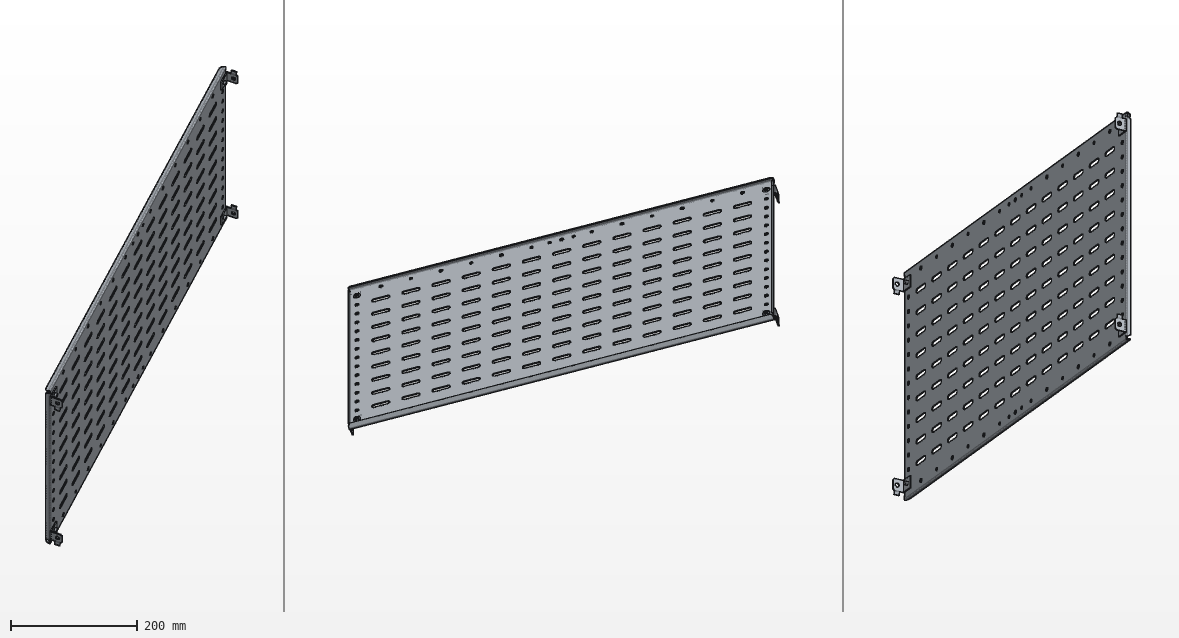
import cadquery as cq
import math

TRAY_FRONT = -15.26
PANEL_BACK = -5.0
PANEL_SHEET = 2.0
PANEL_BEND = 2.25
PANEL_WIDTH = 705.0
PANEL_HEIGHT = 397.66
FLANGE_TILT = math.radians(30)
FLANGE_CORNER = 3.5
SIDE_FLANGE_FRONT = -13.5
SIDE_FLANGE_TOP = 191.5

HALF_WIDTH = PANEL_WIDTH / 2
HALF_HEIGHT = PANEL_HEIGHT / 2
WEB_FRONT = PANEL_BACK - PANEL_SHEET
BEND_X = PANEL_BACK - PANEL_BEND

SLOT_LENGTH = 30.0
SLOT_WIDTH = 8.0
SLOT_PITCH_Y = 50.0
SLOT_PITCH_Z = 37.5
SLOT_COLUMNS = 13
SLOT_ROWS = 9
LARGE_HOLE = 6.5
SMALL_HOLE = 5.2
EDGE_ROW_Z = 185.0
LARGE_EDGE_HOLES_Y = (-300, -200, -100, 0, 100, 200, 300)
SMALL_EDGE_HOLES_Y = (-250, -150, -50, -20, 20, 50, 150, 250)
SIDE_COLUMN_Y = 339.5
SIDE_HOLE_PITCH = 25.0
SIDE_HOLE_COUNT = 13

FASTENER_Y = SIDE_COLUMN_Y
FASTENER_Z = 175.0
HEAD_DIAMETER = 12.0
HEAD_CROWN_DIAMETER = 8.0
HEAD_HEIGHT = 2.0
HEAD_RECESS_DIAMETER = 4.0
HEAD_RECESS_DEPTH = 1.5
SHANK_DIAMETER = 6.5
SHANK_END = 1.0

BRACKET_SHEET = 2.0
BRACKET_BEND = 1.0
LUG_HEIGHT = 6.0
LUG_OFFSET = 1.8
ASSEMBLY_WIDTH = 711.5
BRACKET_END = 15.26
BRACKET_OUTER_Y = ASSEMBLY_WIDTH / 2 - LUG_OFFSET
BRACKET_FOOT_Y = 331.0
BRACKET_HEIGHT = 21.0
BRACKET_CHAMFER = 2.5
BRACKET_HOLE = 7.0
LUG_CENTER_X = 7.75
LUG_WIDTH = 9.0


def x_cylinder(diameter, x_start, x_end, y, z):
    """A cylinder along X between two X positions."""
    return (
        cq.Workplane("YZ", origin=(x_start, y, z))
        .circle(diameter / 2)
        .extrude(x_end - x_start)
    )


def web_holes(points, diameter):
    """Round cutters through the panel web at (y, z) points."""
    return (
        cq.Workplane("YZ", origin=(WEB_FRONT, 0, 0))
        .pushPoints(points)
        .circle(diameter / 2)
        .extrude(PANEL_SHEET)
    )


def sloped_flange():
    """Top flange: a bent strip along Y that starts on the web and slopes down towards -X."""
    sine = math.sin(FLANGE_TILT)
    cosine = math.cos(FLANGE_TILT)
    bend_z = HALF_HEIGHT - PANEL_BEND
    inner_bend = PANEL_BEND - PANEL_SHEET
    mid_angle = (math.pi / 2 + FLANGE_TILT) / 2

    def on_bend(radius, angle):
        return (BEND_X + radius * math.cos(angle), bend_z + radius * math.sin(angle))

    bend_end = math.pi / 2 + FLANGE_TILT
    outer_end = on_bend(PANEL_BEND, bend_end)
    slope_length = (outer_end[0] - TRAY_FRONT) / cosine
    outer_tip = (TRAY_FRONT, outer_end[1] - slope_length * sine)
    inner_tip = (outer_tip[0] + PANEL_SHEET * sine, outer_tip[1] - PANEL_SHEET * cosine)

    strip = (
        cq.Workplane("XZ", origin=(0, HALF_WIDTH, 0))
        .moveTo(PANEL_BACK, SIDE_FLANGE_TOP)
        .lineTo(PANEL_BACK, bend_z)
        .threePointArc(on_bend(PANEL_BEND, mid_angle), outer_end)
        .lineTo(*outer_tip)
        .lineTo(*inner_tip)
        .lineTo(*on_bend(inner_bend, bend_end))
        .threePointArc(on_bend(inner_bend, mid_angle), (WEB_FRONT, bend_z))
        .lineTo(WEB_FRONT, SIDE_FLANGE_TOP)
        .close()
        .extrude(PANEL_WIDTH)
    )
    tip_corners = cq.selectors.BoxSelector(
        (TRAY_FRONT - PANEL_SHEET, -PANEL_WIDTH, inner_tip[1] - PANEL_SHEET),
        (inner_tip[0], PANEL_WIDTH, outer_tip[1] + PANEL_SHEET),
    )
    return strip.edges("not #Z").edges("not |Y").edges(tip_corners).chamfer(FLANGE_CORNER)


def tray_channel():
    """Web and side flanges: a channel along Z whose side flanges taper with the sloped flanges."""
    channel = (
        cq.Workplane("XY", origin=(0, 0, -SIDE_FLANGE_TOP))
        .rect(2 * (PANEL_BACK - SIDE_FLANGE_FRONT), PANEL_WIDTH)
        .extrude(2 * SIDE_FLANGE_TOP)
        .translate((SIDE_FLANGE_FRONT, 0, 0))
        .edges("|Z and >X")
        .fillet(PANEL_BEND)
    )
    inner_width = PANEL_WIDTH - 2 * PANEL_SHEET
    trough = (
        cq.Workplane("XY", origin=(0, 0, -SIDE_FLANGE_TOP))
        .rect(2 * (WEB_FRONT - SIDE_FLANGE_FRONT), inner_width)
        .extrude(2 * SIDE_FLANGE_TOP)
        .translate((SIDE_FLANGE_FRONT, 0, 0))
        .edges("|Z and >X")
        .fillet(PANEL_BEND - PANEL_SHEET)
    )
    taper = (BEND_X - SIDE_FLANGE_FRONT) * math.tan(FLANGE_TILT)
    side_outline = (
        cq.Workplane("XZ", origin=(0, HALF_WIDTH, 0))
        .moveTo(PANEL_BACK, SIDE_FLANGE_TOP)
        .lineTo(BEND_X, SIDE_FLANGE_TOP)
        .lineTo(SIDE_FLANGE_FRONT, SIDE_FLANGE_TOP - taper)
        .lineTo(SIDE_FLANGE_FRONT, taper - SIDE_FLANGE_TOP)
        .lineTo(BEND_X, -SIDE_FLANGE_TOP)
        .lineTo(PANEL_BACK, -SIDE_FLANGE_TOP)
        .close()
        .extrude(PANEL_WIDTH)
    )
    return channel.cut(trough).intersect(side_outline)


def make_panel():
    top_flange = sloped_flange()
    panel = tray_channel().union(top_flange).union(top_flange.mirror("XY"))

    slots = (
        cq.Workplane("YZ", origin=(WEB_FRONT, 0, 0))
        .rarray(SLOT_PITCH_Y, SLOT_PITCH_Z, SLOT_COLUMNS, SLOT_ROWS)
        .slot2D(SLOT_LENGTH, SLOT_WIDTH)
        .extrude(PANEL_SHEET)
    )
    large_points = []
    small_points = []
    for edge_z in (-EDGE_ROW_Z, EDGE_ROW_Z):
        large_points += [(y, edge_z) for y in LARGE_EDGE_HOLES_Y]
        small_points += [(y, edge_z) for y in SMALL_EDGE_HOLES_Y]
    first_side_hole = -SIDE_HOLE_PITCH * (SIDE_HOLE_COUNT - 1) / 2
    for column_y in (-SIDE_COLUMN_Y, SIDE_COLUMN_Y):
        for index in range(SIDE_HOLE_COUNT):
            large_points.append((column_y, first_side_hole + index * SIDE_HOLE_PITCH))
    fastener_points = [(y, z) for y in (-FASTENER_Y, FASTENER_Y) for z in (-FASTENER_Z, FASTENER_Z)]

    return (
        panel.cut(slots)
        .cut(web_holes(large_points, LARGE_HOLE))
        .cut(web_holes(small_points, SMALL_HOLE))
        .cut(web_holes(fastener_points, SHANK_DIAMETER))
    )


def make_bracket():
    """The upper bracket on the -Y side: a foot on the panel and an arm reaching to +X."""
    foot_back = PANEL_BACK + BRACKET_SHEET
    arm_outer = -BRACKET_OUTER_Y
    arm_inner = arm_outer + BRACKET_SHEET
    half_height = BRACKET_HEIGHT / 2
    angle = (
        cq.Workplane("XY", origin=(0, 0, FASTENER_Z - half_height))
        .moveTo(PANEL_BACK, -BRACKET_FOOT_Y)
        .lineTo(PANEL_BACK, arm_outer + BRACKET_BEND)
        .radiusArc((PANEL_BACK + BRACKET_BEND, arm_outer), -BRACKET_BEND)
        .lineTo(BRACKET_END, arm_outer)
        .lineTo(BRACKET_END, arm_inner)
        .lineTo(foot_back, arm_inner)
        .lineTo(foot_back, -BRACKET_FOOT_Y)
        .close()
        .extrude(BRACKET_HEIGHT)
        .edges("|Y and >X")
        .chamfer(BRACKET_CHAMFER)
    )
    root_z = FASTENER_Z - half_height
    tip_z = root_z - LUG_HEIGHT
    lug = (
        cq.Workplane("YZ", origin=(LUG_CENTER_X - LUG_WIDTH / 2, 0, 0))
        .moveTo(arm_outer, root_z)
        .lineTo(arm_inner, root_z)
        .lineTo(arm_inner - LUG_OFFSET, tip_z)
        .lineTo(arm_outer - LUG_OFFSET, tip_z)
        .close()
        .extrude(LUG_WIDTH)
    )
    arm_hole = (
        cq.Workplane("XZ", origin=(LUG_CENTER_X, arm_inner, FASTENER_Z))
        .circle(BRACKET_HOLE / 2)
        .extrude(BRACKET_SHEET)
    )
    foot_hole = x_cylinder(SHANK_DIAMETER, PANEL_BACK, foot_back, -FASTENER_Y, FASTENER_Z)
    return angle.union(lug).cut(arm_hole).cut(foot_hole)


def make_fastener():
    """The upper fastener on the -Y side: a conical head with a round recess, and a shank."""
    head_front = WEB_FRONT - HEAD_HEIGHT
    return (
        cq.Workplane("XY", origin=(0, -FASTENER_Y, FASTENER_Z))
        .moveTo(head_front + HEAD_RECESS_DEPTH, 0)
        .lineTo(head_front + HEAD_RECESS_DEPTH, HEAD_RECESS_DIAMETER / 2)
        .lineTo(head_front, HEAD_RECESS_DIAMETER / 2)
        .lineTo(head_front, HEAD_CROWN_DIAMETER / 2)
        .lineTo(WEB_FRONT, HEAD_DIAMETER / 2)
        .lineTo(WEB_FRONT, SHANK_DIAMETER / 2)
        .lineTo(SHANK_END, SHANK_DIAMETER / 2)
        .lineTo(SHANK_END, 0)
        .close()
        .revolve(360, (0, 0, 0), (1, 0, 0))
    )


def at_corners(part):
    """Copies of an upper -Y part at all four corners; the +Y pair is turned half round about X."""
    copies = []
    for drop in (0, -2 * FASTENER_Z):
        lowered = part.translate((0, 0, drop))
        copies.append(lowered.val())
        copies.append(lowered.rotate((0, 0, 0), (1, 0, 0), 180).val())
    return copies


panel = make_panel()
brackets = at_corners(make_bracket())
fasteners = at_corners(make_fastener())

result = cq.Compound.makeCompound([panel.val(), *brackets, *fasteners])